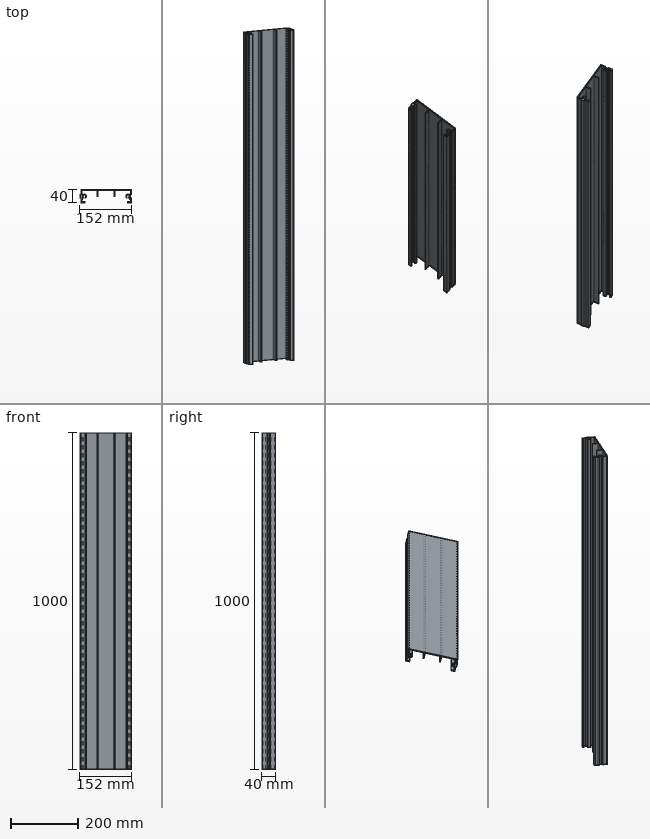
import cadquery as cq

length = 1000.0
total_width = 152.0
depth = 40.0
tongue_height = 2.0
panel_width = total_width - tongue_height
wall = 3.0
corner_radius = 1.0

left = -total_width / 2
right = total_width / 2
left_wall = left + tongue_height
back = depth / 2
front = -depth / 2
panel_centre = (left_wall + right) / 2

rib_spacing = panel_width / 3
rib_thickness = wall
rib_reach = 20.5
rib_root_radius = 1.0

lip_width = 12.0
lip_thickness = 3.5

pad_thickness = 5.0
pad_back_offset = 14.0
pad_front_offset = 30.0

tongue_width = 9.5
groove_width = 10.0
groove_depth = 3.0

port_inset = 10.5
port_radius = 6.0
port_bore_radius = 4.0
port_opening = 4.0

pick_margin = 0.1


def bar(x_start, x_end, y_start, y_end):
    """Full-length bar with a rectangular section between two corners."""
    section = cq.Workplane("XY", origin=(0, 0, -length / 2))
    section = section.center((x_start + x_end) / 2, (y_start + y_end) / 2)
    return section.rect(abs(x_end - x_start), abs(y_end - y_start)).extrude(length)


def rod(x, y, radius):
    """Full-length round rod."""
    return cq.Workplane("XY", origin=(x, y, -length / 2)).circle(radius).extrude(length)


def fillet_long_edges(body, x_start, x_end, y, radius):
    """Round the lengthwise edges that lie at the given y, from x_start to x_end."""
    box = cq.selectors.BoxSelector(
        (x_start - pick_margin, y - pick_margin, -length),
        (x_end + pick_margin, y + pick_margin, length),
    )
    return body.edges("|Z").edges(box).fillet(radius)


def ribbed_panel():
    """Flat back panel with two ribs, filleted where they meet the panel."""
    panel_inside = back - wall
    panel = bar(left_wall, right, panel_inside, back)
    for side in (-1, 1):
        rib_x = panel_centre + side * rib_spacing / 2
        rib_left = rib_x - rib_thickness / 2
        rib_right = rib_x + rib_thickness / 2
        panel = panel.union(bar(rib_left, rib_right, back - rib_reach, back))
        panel = fillet_long_edges(panel, rib_left, rib_right, panel_inside, rib_root_radius)
    return panel


def side_wall(outer_x, inward):
    """Side wall with lip, pad and screw port; inward is the X sign pointing into the channel."""
    web = bar(outer_x, outer_x + inward * wall, front, back)
    lip = bar(outer_x, outer_x + inward * lip_width, front, front + lip_thickness)
    pad = bar(outer_x, outer_x + inward * pad_thickness, back - pad_front_offset, back - pad_back_offset)

    port_x = outer_x + inward * port_inset
    bore = rod(port_x, 0, port_bore_radius)
    opening = bar(port_x - port_opening / 2, port_x + port_opening / 2, -port_radius, 0)
    port = rod(port_x, 0, port_radius).cut(bore).cut(opening)
    return web.union(lip).union(pad).union(port)


def round_outer_corners(body):
    """Round the four outer corners of the section."""
    for x in (left_wall, right):
        for y in (front, back):
            body = fillet_long_edges(body, x, x, y, corner_radius)
    return body


tongue = bar(left, left_wall + wall, -tongue_width / 2, tongue_width / 2)
groove = bar(right - groove_depth, right, -groove_width / 2, groove_width / 2)

channel = ribbed_panel().union(side_wall(left_wall, 1)).union(side_wall(right, -1))
result = round_outer_corners(channel).union(tongue).cut(groove)